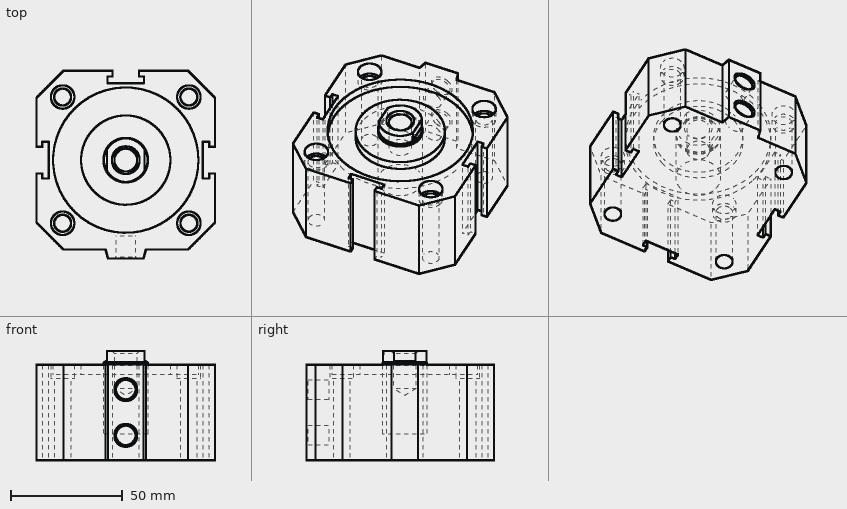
import cadquery as cq
import math

total_depth = 84.0
port_boss_height = 4.0
housing_side = total_depth - port_boss_height
housing_height = 42.8
corner_cut = 12.1
half_side = housing_side / 2

slot_mouth_width = 11.8
slot_inner_width = 16.3
slot_lip = 2.7
slot_depth = 5.55

port_boss_base = 18.15
port_boss_tip = 16.0
port_spacing = 20.5
port_bore_diameter = 8.7
port_mouth_diameter = 10.25
port_mouth_chamfer = (port_mouth_diameter - port_bore_diameter) / 2
port_depth = 10.1

mount_offset = 28.2
mount_hole_diameter = 7.5
counterbore_diameter = 10.5
counterbore_depth = 6.3

recess_diameter = 65.0
recess_depth = 4.5
guide_diameter = 40.0
guide_height = 4.2
guide_top = housing_height - recess_depth + guide_height

rod_diameter = 20.0
rod_head_diameter = 19.5
rod_top = 49.0
rod_bottom = 11.8
rod_shoulder_rise = 0.5
rod_shoulder = housing_height + rod_shoulder_rise
rod_shoulder_height = 0.6
flat_width = 17.0
flat_rise = 1.7
flat_bottom = housing_height + flat_rise
flat_cutter_overhang = 0.8
flat_slope = math.radians(30)

bore_diameter = 10.25
bore_mouth_diameter = 12.4
bore_mouth_chamfer = (bore_mouth_diameter - bore_diameter) / 2
bore_depth = 16.8
drill_tip_angle = math.radians(118)


def make_t_slot(turn):
    """T-slot cutter for the back face, turned about Z to another face."""
    mouth = cq.Workplane("XY").box(
        slot_mouth_width, slot_depth, housing_height, centered=(True, False, False)
    )
    inner = cq.Workplane("XY").box(
        slot_inner_width, slot_depth - slot_lip, housing_height, centered=(True, False, False)
    )
    slot = mouth.union(inner).translate((0, half_side - slot_depth, 0))
    return slot.rotate((0, 0, 0), (0, 0, 1), turn)


def make_port_boss():
    """Tapered rib carrying the ports, standing out from the front face."""
    face = -half_side
    tip = face - port_boss_height
    outline = [
        (-port_boss_base / 2, face),
        (-port_boss_tip / 2, tip),
        (port_boss_tip / 2, tip),
        (port_boss_base / 2, face),
    ]
    return cq.Workplane("XY").polyline(outline).close().extrude(housing_height)


def make_port(height):
    """Port cutter with a conical mouth, entering from the boss tip toward +Y."""
    outline = [
        (0, 0),
        (port_mouth_diameter / 2, 0),
        (port_bore_diameter / 2, port_mouth_chamfer),
        (port_bore_diameter / 2, port_depth),
        (0, port_depth),
    ]
    port = cq.Workplane("XY").polyline(outline).close().revolve(360, (0, 0), (0, 1))
    return port.translate((0, -half_side - port_boss_height, height))


def make_recess():
    """Ring cutter that leaves the rod guide standing below the top face."""
    floor = housing_height - recess_depth
    pocket = cq.Workplane("XY").workplane(offset=floor).circle(recess_diameter / 2).extrude(recess_depth)
    guide = cq.Workplane("XY").workplane(offset=floor).circle(guide_diameter / 2).extrude(guide_height)
    return pocket.cut(guide)


def make_housing():
    block = cq.Workplane("XY").box(housing_side, housing_side, housing_height, centered=(True, True, False))
    body = block.edges("|Z").chamfer(corner_cut)
    body = body.union(make_port_boss())
    for turn in (0, 90, -90):
        body = body.cut(make_t_slot(turn))
    for side in (-1, 1):
        body = body.cut(make_port(housing_height / 2 + side * port_spacing / 2))
    body = (
        body.faces(">Z")
        .workplane(origin=(0, 0, housing_height))
        .rect(2 * mount_offset, 2 * mount_offset, forConstruction=True)
        .vertices()
        .cboreHole(mount_hole_diameter, counterbore_diameter, counterbore_depth)
    )
    body = body.cut(make_recess())
    rod_socket = (
        cq.Workplane("XY").workplane(offset=rod_bottom).circle(rod_diameter / 2).extrude(guide_top - rod_bottom)
    )
    return body.cut(rod_socket)


def make_flat_cutter(side):
    """Removes one wrench flat, with a sloping runout at its lower end."""
    inner = flat_width / 2
    outer = rod_diameter / 2 + flat_cutter_overhang
    runout_drop = (outer - inner) * math.tan(flat_slope)
    outline = [
        (side * inner, rod_top),
        (side * inner, flat_bottom),
        (side * outer, flat_bottom - runout_drop),
        (side * outer, rod_top),
    ]
    return cq.Workplane("XZ").polyline(outline).close().extrude(rod_diameter / 2, both=True)


def make_rod():
    """Rod turned in one profile, bore included, then flattened on both sides."""
    bore_radius = bore_diameter / 2
    tip_depth = bore_depth + bore_radius / math.tan(drill_tip_angle / 2)
    profile = [
        (0, rod_bottom),
        (rod_diameter / 2, rod_bottom),
        (rod_diameter / 2, rod_shoulder),
        (rod_head_diameter / 2, rod_shoulder + rod_shoulder_height),
        (rod_head_diameter / 2, rod_top),
        (bore_mouth_diameter / 2, rod_top),
        (bore_radius, rod_top - bore_mouth_chamfer),
        (bore_radius, rod_top - bore_depth),
        (0, rod_top - tip_depth),
    ]
    body = cq.Workplane("XZ").polyline(profile).close().revolve(360, (0, 0), (0, 1))
    for side in (-1, 1):
        body = body.cut(make_flat_cutter(side))
    return body


housing = make_housing()
rod = make_rod()
result = cq.Compound.makeCompound([housing.val(), rod.val()])